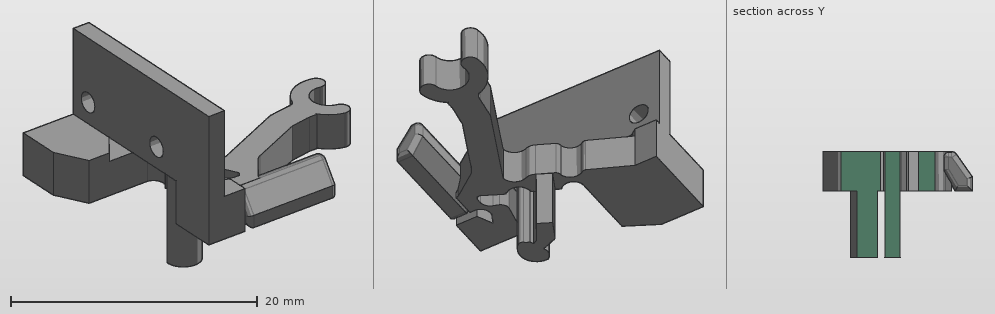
import cadquery as cq
import math

width = 18.15
length = 25.45
plate_top = 11.99
block_height = 4.0
arm_height = 3.2
peg_depth = 5.4

plate_front = 5.1
plate_thickness = 1.6
plate_back = plate_front + plate_thickness
hole_diameter = 1.8
hole_height = 5.98
first_hole_x = 1.99
hole_spacing = 9.15

block_width = 6.85
block_back = 7.18
block_chamfer_x = 2.82
block_chamfer_y = 1.5
block_step_start = (block_width, 3.56)
block_step_end = (2.04, block_back)

pad_left = 13.75
pad_back = 8.78
pad_notch = (15.5, 7.4)
pad_shoulder_x = 16.15
pad_crown = (14.68, 7.86)

hook_inner_radius = 1.58
hook_outer_radius = 3.1
hook_tip_radius = (hook_outer_radius - hook_inner_radius) / 2
hook_middle_radius = hook_inner_radius + hook_tip_radius
hook_x = 9.05
left_tip_angle = math.radians(168)
right_tip_angle = math.radians(348)
hook_y = length - hook_tip_radius - hook_middle_radius * math.sin(left_tip_angle)

slot_notch = (10.45, 8.78)
lobe_x = 11.1
lobe_y = 7.81
lobe_radius = 1.45
lobe_foot_angle = math.radians(260)
lobe_foot = (
    lobe_x + lobe_radius * math.cos(lobe_foot_angle),
    lobe_y + lobe_radius * math.sin(lobe_foot_angle),
)

rod_left = 15.7
rod_right = 18.1
rod_front = 9.26
rod_back = 18.2
rod_rounding = 0.45
rod_top_corner_x = 16.65
rod_bottom_corner_x = 16.67
rod_left_corner_z = 1.65
rod_right_corner_z = 1.15
rod_crown_radius = 0.5


def make_plate():
    """Plate that stops at the block top, except for a leg down the right side."""
    plate = (
        cq.Workplane("XY")
        .box(width, plate_thickness, plate_top - block_height, centered=False)
        .translate((0, plate_front, block_height))
    )
    leg = (
        cq.Workplane("XY")
        .box(width - pad_left, plate_thickness, block_height, centered=False)
        .translate((pad_left, plate_front, 0))
    )
    hole_centers = [(first_hole_x + i * hole_spacing, hole_height) for i in range(2)]
    holes = (
        cq.Workplane("XZ", origin=(0, plate_back, 0))
        .pushPoints(hole_centers)
        .circle(hole_diameter / 2)
        .extrude(plate_thickness)
    )
    return plate.union(leg).cut(holes)


def make_block():
    """Mounting block; its slanted rear edge steps down to the arm."""
    return (
        cq.Workplane("XY")
        .moveTo(0, 0)
        .lineTo(block_width - block_chamfer_x, 0)
        .lineTo(block_width, block_chamfer_y)
        .lineTo(*block_step_start)
        .lineTo(*block_step_end)
        .lineTo(0, block_back)
        .close()
        .extrude(block_height)
    )


def make_pad():
    """Pad with a rounded crown and a V notch beside the right flexure."""
    return (
        cq.Workplane("XY")
        .moveTo(pad_left, plate_back)
        .threePointArc(pad_crown, pad_notch)
        .lineTo(pad_shoulder_x, pad_back)
        .lineTo(width, pad_back)
        .lineTo(width, plate_back)
        .close()
        .extrude(block_height)
    )


def make_hook():
    """Half ring with two round tips."""
    def ring_point(radius, angle):
        return (hook_x + radius * math.cos(angle), hook_y + radius * math.sin(angle))

    ring_bottom = math.radians(270)
    return (
        cq.Workplane("XY")
        .moveTo(*ring_point(hook_outer_radius, left_tip_angle))
        .threePointArc(
            ring_point(hook_outer_radius, ring_bottom),
            ring_point(hook_outer_radius, right_tip_angle),
        )
        .lineTo(*ring_point(hook_inner_radius, right_tip_angle))
        .threePointArc(
            ring_point(hook_inner_radius, ring_bottom),
            ring_point(hook_inner_radius, left_tip_angle),
        )
        .close()
        .extrude(arm_height)
        .union(
            cq.Workplane("XY")
            .pushPoints([
                ring_point(hook_middle_radius, left_tip_angle),
                ring_point(hook_middle_radius, right_tip_angle),
            ])
            .circle(hook_tip_radius)
            .extrude(arm_height)
        )
    )


def trace_lobe(outline):
    """Continue an outline from the slot notch, around the lobe, to its link corner."""
    return (
        outline.lineTo(10.87, 8.6)
        .lineTo(11.0, 8.93)
        .threePointArc((11.17, 8.98), (11.45, 9.2))
        .threePointArc((11.7, 9.26), (11.94, 9.2))
        .threePointArc((lobe_x + lobe_radius, lobe_y), lobe_foot)
        .threePointArc((10.38, 7.18), (10.49, 7.64))
        .lineTo(9.05, 8.17)
    )


def make_arm():
    """Bent arm and the thin flexures that join it to the block and the pad."""
    outline = cq.Workplane("XY").moveTo(*block_step_end)

    outline = (
        outline.lineTo(5.7, 8.85)
        .threePointArc((5.93, 8.85), (6.13, 8.75))
        .threePointArc((7.35, 8.83), (7.74, 9.42))
        .threePointArc((7.8, 9.67), (7.95, 9.85))
        .lineTo(9.42, 10.55)
        .threePointArc((9.9, 10.7), (10.3, 10.6))
        .threePointArc((11.5, 10.8), (11.9, 11.5))
        .lineTo(11.83, 11.73)
        .lineTo(8.75, 18.5)
        .lineTo(8.42, 20.65)
        .threePointArc((8.35, 20.97), (8.15, 21.23))
    )

    outline = (
        outline.lineTo(hook_x, hook_y - hook_middle_radius)
        .lineTo(10.9, 21.6)
        .lineTo(10.9, 20.85)
        .lineTo(11.22, 18.85)
        .lineTo(13.5, 13.87)
        .threePointArc((13.65, 13.6), (13.87, 13.35))
        .lineTo(16.19, 11.63)
        .lineTo(16.4, 11.63)
        .lineTo(16.4, 9.5)
    )

    outline = (
        outline.lineTo(15.9, 9.5)
        .threePointArc((15.1, 8.93), (15.22, 7.97))
        .lineTo(*pad_notch)
        .lineTo(pad_notch[0], plate_back)
        .lineTo(pad_left, plate_back)
        .lineTo(13.4, 8.27)
        .threePointArc((13.5, 8.63), (13.87, 9.0))
        .lineTo(14.38, 9.2)
        .threePointArc((14.86, 9.55), (15.05, 10.05))
        .lineTo(15.05, 10.45)
        .threePointArc((14.9, 10.71), (14.55, 10.75))
    )

    outline = (
        outline.lineTo(12.9, 9.87)
        .lineTo(12.72, 9.85)
        .lineTo(12.32, 10.08)
        .threePointArc((11.27, 9.9), (10.87, 8.98))
        .lineTo(*slot_notch)
    )

    outline = (
        trace_lobe(outline)
        .lineTo(8.6, 7.91)
        .threePointArc((7.5, 8.25), (block_width, 7.43))
        .lineTo(*block_step_start)
    )
    return outline.close().extrude(arm_height)


def make_peg():
    """Lower continuation of the lobe and the link next to it."""
    outline = cq.Workplane("XY").moveTo(8.2, 9.93).lineTo(9.4, 10.54).lineTo(*slot_notch)
    return trace_lobe(outline).close().extrude(-peg_depth)


def make_rod():
    """Six-sided rod with rounded upper edges and rounded ends."""
    rod = (
        cq.Workplane("XZ", origin=(0, rod_back, 0))
        .moveTo(rod_bottom_corner_x, 0)
        .lineTo(rod_right, 0)
        .lineTo(rod_right, rod_right_corner_z)
        .lineTo(rod_top_corner_x, arm_height)
        .lineTo(rod_left, arm_height)
        .lineTo(rod_left, rod_left_corner_z)
        .close()
        .extrude(rod_back - rod_front)
    )
    upper_left_edge = cq.selectors.NearestToPointSelector(
        (rod_left, (rod_front + rod_back) / 2, arm_height)
    )
    crown_edge = cq.selectors.NearestToPointSelector(
        (rod_top_corner_x, (rod_front + rod_back) / 2, arm_height)
    )
    rod = rod.edges(upper_left_edge).fillet(rod_rounding)
    rod = rod.edges(crown_edge).fillet(rod_crown_radius)
    return rod.faces("<Y or >Y").edges().fillet(rod_rounding)


result = (
    make_plate()
    .union(make_block())
    .union(make_pad())
    .union(make_arm())
    .union(make_hook())
    .union(make_peg())
    .union(make_rod())
)